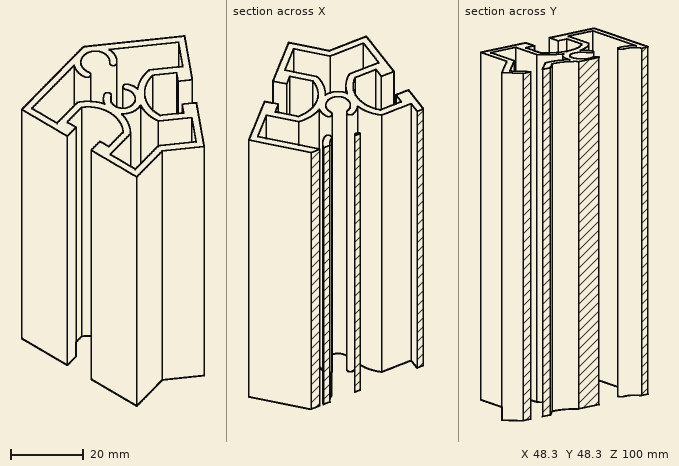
import cadquery as cq
import math


length = 100.0
face_width = 40.0
wall = 2.0
slot_turn = 135.0

slot_opening = 8.3
slot_inner_width = 14.5
lip_thickness = 4.0
slot_arc_radius = 9.75
slot_arc_center_depth = 4.1

center_bore_radius = 3.4
center_gap_half_angle = 43.5
corner_bore_radius = 4.0
corner_gap_half_angle = 57.0

half_face = face_width / 2
first_slot_angle = -90
mirror_angle = first_slot_angle + slot_turn / 2
back_corner_angle = mirror_angle + 180
back_corner_slope = math.tan(math.radians(180 - back_corner_angle))


def polar(radius, angle):
    """Point at the given radius and angle (degrees) from the origin."""
    turn = math.radians(angle)
    return (radius * math.cos(turn), radius * math.sin(turn))


def prism(sketch):
    """Extrude a closed outline over the full length."""
    return sketch.extrude(length)


def turn_to_second_slot(x, y):
    """Point turned about the centre axis by the angle between the slots."""
    turn = math.radians(slot_turn)
    return (
        x * math.cos(turn) - y * math.sin(turn),
        x * math.sin(turn) + y * math.cos(turn),
    )


def six_sided_prism(side_distance):
    """Prism whose six sides all lie at the same distance from the centre axis."""
    back_height = side_distance * back_corner_slope
    points = [
        (-side_distance, back_height),
        (-side_distance, -side_distance),
        (side_distance, -side_distance),
        (side_distance, -back_height),
        turn_to_second_slot(-side_distance, -side_distance),
        turn_to_second_slot(side_distance, -side_distance),
    ]
    return prism(cq.Workplane("XY").polyline(points).close())


def make_shell():
    """Hollow six-sided outer wall."""
    return six_sided_prism(half_face).cut(six_sided_prism(half_face - wall))


def vaulted_prism(half_width, base_y, arc_radius):
    """Straight-sided prism closed by an arch on the slot's vault centre."""
    arc_center_y = slot_arc_center_depth - half_face
    spring_y = arc_center_y + math.sqrt(arc_radius**2 - half_width**2)
    outline = (
        cq.Workplane("XY")
        .moveTo(-half_width, base_y)
        .lineTo(half_width, base_y)
        .lineTo(half_width, spring_y)
        .threePointArc((0, arc_center_y + arc_radius), (-half_width, spring_y))
        .close()
    )
    return prism(outline)


def make_slot_housing():
    """Solid block enclosing the first slot."""
    return vaulted_prism(slot_inner_width / 2 + wall, -half_face, slot_arc_radius + wall)


def make_slot_space():
    """Empty space of the first slot: vaulted chamber and its narrower opening."""
    chamber = vaulted_prism(slot_inner_width / 2, lip_thickness - half_face, slot_arc_radius)
    opening = prism(
        cq.Workplane("XY")
        .center(0, -half_face + lip_thickness / 2)
        .rect(slot_opening, lip_thickness)
    )
    return chamber.union(opening)


def make_screw_channel(center, bore_radius, gap_angle, gap_half_angle):
    """C-shaped wall with rounded tips, open towards gap_angle."""
    outer_radius = bore_radius + wall
    start = gap_angle + gap_half_angle
    middle = gap_angle + 180
    end = gap_angle + 360 - gap_half_angle
    tip_radius = bore_radius + wall / 2
    outline = (
        cq.Workplane("XY")
        .moveTo(*polar(outer_radius, start))
        .threePointArc(polar(outer_radius, middle), polar(outer_radius, end))
        .lineTo(*polar(bore_radius, end))
        .threePointArc(polar(bore_radius, middle), polar(bore_radius, start))
        .close()
    )
    channel = prism(outline)
    for tip_angle in (start, end):
        tip = prism(cq.Workplane("XY").center(*polar(tip_radius, tip_angle)).circle(wall / 2))
        channel = channel.union(tip)
    return channel.translate((*center, 0))


def at_both_slots(shape):
    """The shape together with its copy turned to the second slot."""
    return shape.union(shape.rotate((0, 0, 0), (0, 0, 1), slot_turn))


corner_offset = half_face - wall - corner_bore_radius
corner_center = (-corner_offset, corner_offset * back_corner_slope)

center_channel = make_screw_channel(
    (0, 0), center_bore_radius, back_corner_angle, center_gap_half_angle
)
corner_channel = make_screw_channel(
    corner_center, corner_bore_radius, mirror_angle, corner_gap_half_angle
)

body = make_shell().union(at_both_slots(make_slot_housing()))
body = body.cut(at_both_slots(make_slot_space()))
result = body.union(center_channel).union(corner_channel)